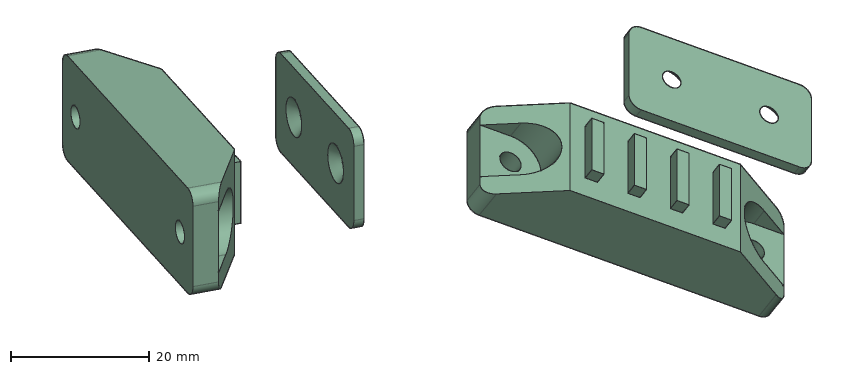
import cadquery as cq

HOUSING_LENGTH = 50.0
HOUSING_HEIGHT = 17.0
HOUSING_DEPTH = 11.0
FLANGE_DEPTH = 4.0
REAR_LENGTH = 28.0
CORNER_RADIUS = 2.0

SCREW_SPACING = 40.0
SCREW_DIAMETER = 3.5
POCKET_DIAMETER = 10.0

RIB_COUNT = 4
RIB_PITCH = 7.0
RIB_WIDTH = 2.0
RIB_HEIGHT = 10.0
RIB_DEPTH = 2.0

PLATE_LENGTH = 30.0
PLATE_HEIGHT = 16.0
PLATE_THICKNESS = 1.6
PLATE_REAR_Y = 30.8
PLATE_FRONT_Y = PLATE_REAR_Y - PLATE_THICKNESS
PLATE_HOLE_SPACING = 16.0
PLATE_HOLE_FRONT_DIAMETER = 6.0
PLATE_HOLE_REAR_DIAMETER = 3.0


def rounded_slab(length, height, front_y, depth):
    """Slab with rounded corners whose front face lies at front_y."""
    slab = cq.Workplane("XY").box(length, depth, height)
    return slab.edges("|Y").fillet(CORNER_RADIUS).translate((0, front_y + depth / 2, 0))


def rod(diameter, x, front_y, depth):
    """Cylinder along +Y, centred on the XY plane."""
    return cq.Workplane(
        cq.Solid.makeCylinder(diameter / 2, depth, cq.Vector(x, front_y, 0), cq.Vector(0, 1, 0))
    )


def sloped_block():
    """Rounded block narrowed by a straight slope at each end."""
    half_length = HOUSING_LENGTH / 2
    half_rear = REAR_LENGTH / 2
    profile = (
        cq.Workplane("XY")
        .polyline([
            (-half_length, 0),
            (half_length, 0),
            (half_length, FLANGE_DEPTH),
            (half_rear, HOUSING_DEPTH),
            (-half_rear, HOUSING_DEPTH),
            (-half_length, FLANGE_DEPTH),
        ])
        .close()
        .extrude(HOUSING_HEIGHT / 2, both=True)
    )
    return profile.intersect(rounded_slab(HOUSING_LENGTH, HOUSING_HEIGHT, 0, HOUSING_DEPTH))


def head_pocket(side):
    """Round-nosed pocket above the flange, running straight out through one end (side is -1 or 1)."""
    hole_x = side * SCREW_SPACING / 2
    depth = HOUSING_DEPTH - FLANGE_DEPTH
    run_out = (HOUSING_LENGTH - SCREW_SPACING) / 2
    channel = cq.Workplane("XY").box(run_out, depth, POCKET_DIAMETER)
    channel = channel.translate((hole_x + side * run_out / 2, FLANGE_DEPTH + depth / 2, 0))
    return rod(POCKET_DIAMETER, hole_x, FLANGE_DEPTH, depth).union(channel)


def make_housing():
    body = sloped_block()
    for side in (-1, 1):
        body = body.cut(head_pocket(side))
        body = body.cut(rod(SCREW_DIAMETER, side * SCREW_SPACING / 2, 0, HOUSING_DEPTH))
    for index in range(RIB_COUNT):
        x = (index - (RIB_COUNT - 1) / 2) * RIB_PITCH
        rib = cq.Workplane("XY").box(RIB_WIDTH, RIB_DEPTH, RIB_HEIGHT)
        body = body.union(rib.translate((x, HOUSING_DEPTH + RIB_DEPTH / 2, 0)))
    return body


def make_plate():
    """Strike plate with two conical screw holes, wide toward the housing."""
    plate_body = rounded_slab(PLATE_LENGTH, PLATE_HEIGHT, PLATE_FRONT_Y, PLATE_THICKNESS)
    for side in (-1, 1):
        cone = cq.Solid.makeCone(
            PLATE_HOLE_FRONT_DIAMETER / 2,
            PLATE_HOLE_REAR_DIAMETER / 2,
            PLATE_THICKNESS,
            cq.Vector(side * PLATE_HOLE_SPACING / 2, PLATE_FRONT_Y, 0),
            cq.Vector(0, 1, 0),
        )
        plate_body = plate_body.cut(cq.Workplane(cone))
    return plate_body


housing = make_housing()
plate = make_plate()

result = cq.Compound.makeCompound([housing.val(), plate.val()])